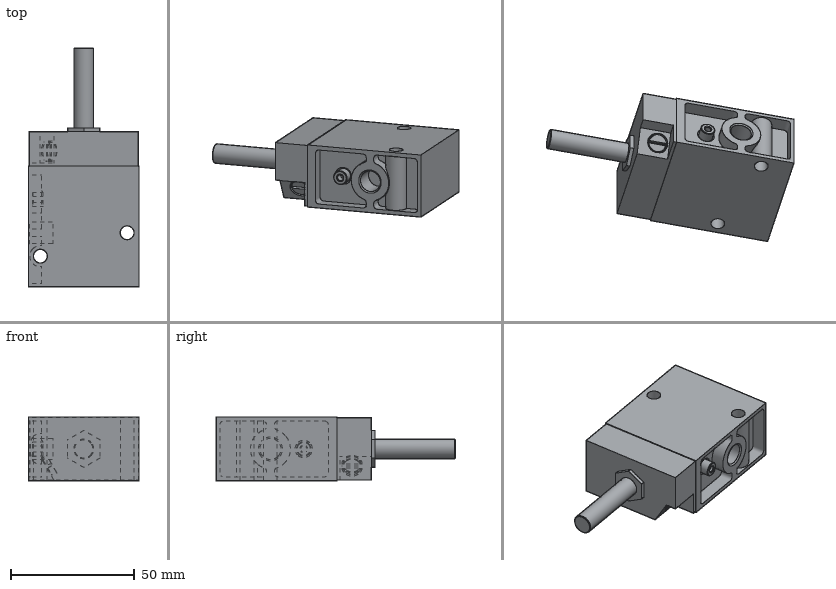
import cadquery as cq
import math

block_width = 45.0
block_length = 49.0
block_height = 26.0
left_face = -block_width / 2

head_width = 44.4
head_length = 14.0
head_height = 25.4
head_end = block_length + head_length
undercut_top = -3.0
undercut_depth = 4.5
undercut_tilt = 30.0
undercut_end_wall = 1.3

screw_y = 55.1
screw_z = -7.45
screw_bore_diameter = 8.2
screw_diameter = 7.2
screw_bore_depth = 2.5
screw_recess = 0.3
screw_slot_width = 1.0
screw_slot_depth = 2.0

nut_across_flats = 13.0
nut_thickness = 1.5
rod_diameter = 8.0
rod_end = 97.0
rod_chamfer = 0.3

pocket_depth = 5.4
pocket_height = 22.6
pocket_front = 1.5
pocket_back = 45.5
pocket_corner_radius = 1.5
rib_width = 3.2
pocket_floor = left_face + pocket_depth

port_y = 22.0
port_ring_diameter = 16.2
port_diameter = 8.57
port_mouth_diameter = 9.7
port_depth = 10.0

pin_y = 35.5
pin_diameter = 5.8
pin_height = 3.7
pin_chamfer = 0.25
pin_hole_diameter = 2.46
pin_hole_mouth_diameter = 3.1
pin_hole_depth = 4.0
pin_seat_diameter = 7.0

mounting_hole_diameter = 5.5
mounting_hole_x = 17.6
left_hole_y = 12.5
right_hole_y = 22.0
column_diameter = 8.57


def left_plane(x, y):
    """Workplane at the given X facing -X, with its origin at (x, y, 0) and local Y along +Z."""
    return cq.Workplane(cq.Plane(origin=(x, y, 0), xDir=(0, -1, 0), normal=(-1, 0, 0)))


def countersink(x, y, mouth_diameter, small_diameter):
    """Cone narrowing at 45 degrees from its mouth at the given X towards +X."""
    depth = (mouth_diameter - small_diameter) / 2
    mouth = left_plane(x, y).circle(mouth_diameter / 2)
    return mouth.workplane(offset=-depth).circle(small_diameter / 2).loft(combine=True)


def blind_hole(x, y, diameter, mouth_diameter, depth):
    """Round hole bored towards +X with a chamfered mouth."""
    bore = left_plane(x, y).circle(diameter / 2).extrude(-depth)
    return bore.union(countersink(x, y, mouth_diameter, diameter))


def make_block():
    return cq.Workplane("XY").box(block_width, block_length, block_height, centered=(True, False, True))


def make_pockets():
    length = pocket_back - pocket_front
    middle = (pocket_front + pocket_back) / 2
    pocket = left_plane(left_face, middle).rect(length, pocket_height).extrude(-pocket_depth)
    rib = left_plane(left_face, port_y).rect(rib_width, pocket_height).extrude(-pocket_depth)
    ring = left_plane(left_face, port_y).circle(port_ring_diameter / 2).extrude(-pocket_depth)
    return pocket.cut(rib.union(ring)).edges("|X").fillet(pocket_corner_radius)


def make_column():
    column = cq.Workplane("XY").center(-mounting_hole_x, left_hole_y).circle(column_diameter / 2)
    return column.extrude(pocket_height / 2, both=True)


def make_mounting_holes():
    places = [(-mounting_hole_x, left_hole_y), (mounting_hole_x, right_hole_y)]
    holes = cq.Workplane("XY").pushPoints(places).circle(mounting_hole_diameter / 2)
    return holes.extrude(block_height, both=True)


def make_pin():
    seat_depth = (pin_seat_diameter - pin_diameter) / 2
    root = pocket_floor + seat_depth
    pin = left_plane(root, pin_y).circle(pin_diameter / 2).extrude(pin_height + seat_depth)
    pin = pin.faces("<X").chamfer(pin_chamfer)
    hole = blind_hole(pocket_floor - pin_height, pin_y, pin_hole_diameter,
                      pin_hole_mouth_diameter, pin_hole_depth)
    return pin, hole


def make_undercut():
    top_x = -head_width / 2 + undercut_depth
    bottom_z = -head_height / 2
    bottom_x = top_x + (undercut_top - bottom_z) * math.tan(math.radians(undercut_tilt))
    outline = [
        (-head_width / 2, undercut_top),
        (top_x, undercut_top),
        (bottom_x, bottom_z),
        (-head_width / 2, bottom_z),
    ]
    profile = cq.Workplane("XZ", origin=(0, head_end, 0)).polyline(outline).close()
    return profile.extrude(head_length - undercut_end_wall)


def make_screw_cuts():
    """Annular gap, recess and slot that shape the screw in the sloped undercut face."""
    tilt = math.radians(undercut_tilt)
    center_x = -head_width / 2 + undercut_depth + (undercut_top - screw_z) * math.tan(tilt)
    slope = cq.Workplane(cq.Plane(
        origin=(center_x, screw_y, screw_z),
        xDir=(0, -1, 0),
        normal=(-math.cos(tilt), 0, -math.sin(tilt)),
    ))
    bore = slope.circle(screw_bore_diameter / 2).extrude(-screw_bore_depth)
    screw = slope.workplane(offset=-screw_bore_depth).circle(screw_diameter / 2)
    screw = screw.extrude(screw_bore_depth - screw_recess)
    slot = slope.rect(screw_bore_diameter, screw_slot_width).extrude(-screw_slot_depth)
    return bore.cut(screw).union(slot)


def make_head():
    head = cq.Workplane("XY", origin=(0, block_length, 0)).box(
        head_width, head_length, head_height, centered=(True, False, True))
    return head.cut(make_undercut()).cut(make_screw_cuts())


def make_nut_and_rod():
    end_face = cq.Workplane("XZ", origin=(0, head_end, 0))
    across_corners = nut_across_flats / math.cos(math.pi / 6)
    nut = end_face.transformed(rotate=(0, 0, 90)).polygon(6, across_corners).extrude(-nut_thickness)
    rod = end_face.circle(rod_diameter / 2).extrude(-(rod_end - head_end))
    return nut.union(rod.faces(">Y").chamfer(rod_chamfer))


pin, pin_hole = make_pin()
result = make_block().cut(make_pockets())
result = result.union(make_column()).cut(make_mounting_holes())
result = result.cut(blind_hole(left_face, port_y, port_diameter, port_mouth_diameter, port_depth))
result = result.cut(countersink(pocket_floor, pin_y, pin_seat_diameter, pin_diameter))
result = result.union(pin).cut(pin_hole)
result = result.union(make_head()).union(make_nut_and_rod())